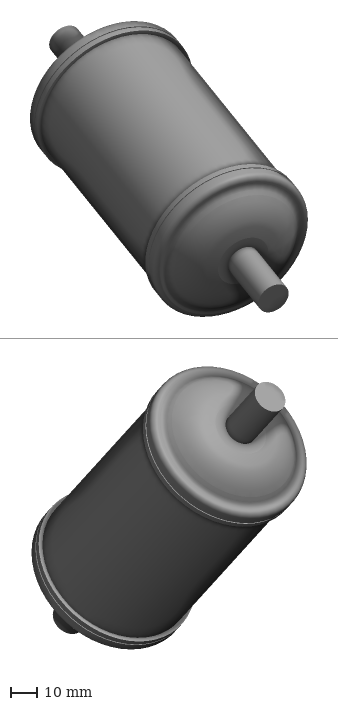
import cadquery as cq
import math

overall_length = 172.0
tube_radius = 6.5
body_radius = 31.8
rim_diameter = 66.9
rim_radius = rim_diameter / 2
rim_inner_x = 44.4
rim_face_x = 52.3
rim_round = 2.4
groove_x = 46.6
groove_width = 0.5
groove_depth = 0.3

cap_face_x = 61.0
cap_flat_radius = 10.8
dome_arc_radius = 21.8
blend_arc_radius = 3.1
cone_angle = math.radians(45)


def arc_point(center, radius, angle):
    """Point (x, r) on an arc, with the angle measured from the X axis."""
    return (center[0] + radius * math.cos(angle), center[1] + radius * math.sin(angle))


dome_center = (cap_face_x - dome_arc_radius, cap_flat_radius)
dome_middle = arc_point(dome_center, dome_arc_radius, cone_angle / 2)
dome_end = arc_point(dome_center, dome_arc_radius, cone_angle)

blend_start_x = rim_face_x + blend_arc_radius * (1 - math.cos(cone_angle))
blend_start_r = dome_end[1] + (dome_end[0] - blend_start_x) / math.tan(cone_angle)
blend_center = (
    rim_face_x + blend_arc_radius,
    blend_start_r + blend_arc_radius * math.sin(cone_angle),
)
blend_middle = arc_point(blend_center, blend_arc_radius, math.pi + cone_angle / 2)

round_center = (rim_face_x - rim_round, rim_radius - rim_round)
round_middle = arc_point(round_center, rim_round, math.radians(45))


def make_end():
    """Rim, cap and tube on the +X side, revolved about X."""
    groove_end_x = groove_x + groove_width
    groove_floor = rim_radius - groove_depth
    profile = (
        cq.Workplane("XY")
        .moveTo(rim_inner_x, 0)
        .lineTo(overall_length / 2, 0)
        .lineTo(overall_length / 2, tube_radius)
        .lineTo(cap_face_x, tube_radius)
        .lineTo(cap_face_x, cap_flat_radius)
        .threePointArc(dome_middle, dome_end)
        .lineTo(blend_start_x, blend_start_r)
        .threePointArc(blend_middle, (rim_face_x, blend_center[1]))
        .lineTo(rim_face_x, round_center[1])
        .threePointArc(round_middle, (round_center[0], rim_radius))
        .lineTo(groove_end_x, rim_radius)
        .lineTo(groove_end_x, groove_floor)
        .lineTo(groove_x, groove_floor)
        .lineTo(groove_x, rim_radius)
        .lineTo(rim_inner_x, rim_radius)
        .close()
    )
    return profile.revolve(360, (0, 0, 0), (1, 0, 0))


def make_body():
    """Plain cylinder between the two rims."""
    return cq.Workplane("YZ", origin=(-rim_inner_x, 0, 0)).circle(body_radius).extrude(2 * rim_inner_x)


end = make_end()
result = make_body().union(end).union(end.mirror("YZ"))